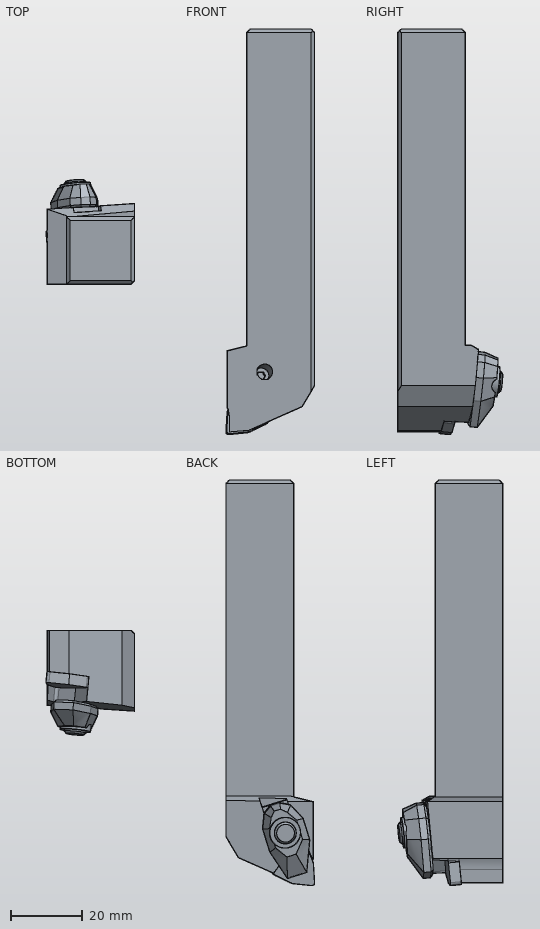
import cadquery as cq
import math

TOP_Z = 113.8
SHANK_LEFT = 5.8
SHANK_RIGHT = 24.9
SHANK_DEPTH = 19.0
EDGE_CHAMFER = 1.0

HEAD_LEFT = 0.3
HEAD_CORNER_Z = 23.5
HEAD_SHOULDER_Z = 24.9
HEAD_TOP_Z = 25.1
RELIEF_LEFT = 1.0
UNDERCUT_TOP_Z = 7.6
UNDERCUT_BOTTOM_Z = 4.5
TOE_LEFT_Z = 0.8
TOE_RIGHT = (6.5, 1.3)
HEEL_LOW = (21.4, 7.9)
HEEL_HIGH_Z = 13.8
HEAD_STOCK_DEPTH = 25.0

REAR_Y = 18.9
REAR_SLOPE_X = 0.065
REAR_SLOPE_Z = 0.092

RAMP_Y = 18.3
RAMP_SLOPE_X = 0.09
RAMP_ANGLE = 30.0

INSERT_CORNERS = 3
INSERT_CIRCLE_R = 4.8
INSERT_NOSE_R = 0.8
INSERT_THICKNESS = 3.1
INSERT_TOP_Y = 14.6
INSERT_SLOPE_X = 0.095
INSERT_SLOPE_Z = 0.1
CORNER_HALF_ANGLE = 40.0
TIP_DIRECTION = 226.0

CLAMP_LEAN = 17.5
CLAMP_TAIL = 7.9
CLAMP_NOSE = 13.1
CLAMP_LEFT = 6.4
CLAMP_RIGHT = 5.3
CLAMP_FOOT_CHAMFER = 0.7
CLAMP_WALL = 2.7
CLAMP_ROOF = 6.6
CLAMP_BOSS_R = 4.3
CLAMP_BOSS_TOP = 7.3
CLAMP_KEY_WIDTH = 7.3
CLAMP_KEY_START = 5.1
CLAMP_KEY_DEPTH = 1.5
KEY_SLOT_LENGTH = 9.1

SCREW_FRONT_X = 10.9
SCREW_FRONT_Z = 17.6
SCREW_R = 2.2
SCREW_HEAD_R = 3.1
SCREW_HEAD_TOP = 8.3
SCREW_HEAD_CHAMFER = 0.6
SCREW_END = 10.2
SOCKET_WIDTH = 2.5
SOCKET_DEPTH = 2.3

CUTTER = 91.0


def polar(centre, distance, angle):
    """Point at a distance and an angle in degrees from a centre."""
    a = math.radians(angle)
    return (centre[0] + distance * math.cos(a), centre[1] + distance * math.sin(a))


def tilted_plane(origin, slope_x, slope_z):
    """Plane with y rising by the slopes; its z axis points toward -Y and its y axis upward."""
    return cq.Plane(origin=origin, xDir=(1, slope_x, 0), normal=(slope_x, -1, slope_z))


seat_plane = tilted_plane((0, INSERT_TOP_Y, 0), INSERT_SLOPE_X, INSERT_SLOPE_Z)

axis_rise = (REAR_Y + REAR_SLOPE_X * SCREW_FRONT_X + REAR_SLOPE_Z * SCREW_FRONT_Z) / (
    1 + REAR_SLOPE_X * INSERT_SLOPE_X + REAR_SLOPE_Z * INSERT_SLOPE_Z
)
axis_point = (
    SCREW_FRONT_X - INSERT_SLOPE_X * axis_rise,
    axis_rise,
    SCREW_FRONT_Z - INSERT_SLOPE_Z * axis_rise,
)
rear_plane = tilted_plane(axis_point, REAR_SLOPE_X, REAR_SLOPE_Z)
clamp_plane = rear_plane.rotated((0, 0, -CLAMP_LEAN))
screw_plane = tilted_plane(axis_point, INSERT_SLOPE_X, INSERT_SLOPE_Z)


def insert_outline():
    """Trigon profile whose cutting tip touches both local axes."""
    nose_distance = (INSERT_CIRCLE_R - INSERT_NOSE_R) / math.sin(math.radians(CORNER_HALF_ANGLE))
    corner_spacing = 360 / INSERT_CORNERS
    tangent_angle = 90 - CORNER_HALF_ANGLE
    flat_corner_offset = corner_spacing / 2
    flat_corner_distance = INSERT_CIRCLE_R / math.cos(math.radians(flat_corner_offset - tangent_angle))
    tip_nose = (INSERT_NOSE_R, INSERT_NOSE_R)
    centre = polar(tip_nose, nose_distance, TIP_DIRECTION - 180)

    outline = cq.Workplane(seat_plane)
    for i in range(INSERT_CORNERS):
        direction = TIP_DIRECTION + corner_spacing * i
        nose = polar(centre, nose_distance, direction)
        arc_start = polar(nose, INSERT_NOSE_R, direction - tangent_angle)
        arc_middle = polar(nose, INSERT_NOSE_R, direction)
        arc_end = polar(nose, INSERT_NOSE_R, direction + tangent_angle)
        outline = outline.moveTo(*arc_start) if i == 0 else outline.lineTo(*arc_start)
        outline = outline.threePointArc(arc_middle, arc_end)
        outline = outline.lineTo(*polar(centre, flat_corner_distance, direction + flat_corner_offset))
    return outline.close()


def make_insert():
    return insert_outline().extrude(INSERT_THICKNESS)


def insert_pocket():
    """Space of the insert and everything behind it."""
    return make_insert().union(insert_outline().extrude(-HEAD_STOCK_DEPTH))


def key_block(length):
    """Block under the clamp's tail, running along the clamp axis."""
    return (
        cq.Workplane(clamp_plane)
        .center(0, CLAMP_KEY_START + length / 2)
        .rect(CLAMP_KEY_WIDTH, length)
        .extrude(CLAMP_KEY_DEPTH)
    )


def screw_rod(length_down):
    """Cylinder on the screw axis from the clamp's boss to a length below the rear face."""
    return (
        cq.Workplane(screw_plane)
        .workplane(offset=-CLAMP_BOSS_TOP)
        .circle(SCREW_R)
        .extrude(CLAMP_BOSS_TOP + length_down)
    )


def make_head():
    rise = UNDERCUT_TOP_Z - UNDERCUT_BOTTOM_Z
    step = RELIEF_LEFT - HEAD_LEFT
    undercut_r = (rise**2 + step**2) / (2 * step)
    half_sweep = math.atan2(step, rise)
    undercut_middle = (
        RELIEF_LEFT - undercut_r * (1 - math.cos(half_sweep)),
        UNDERCUT_BOTTOM_Z + undercut_r * math.sin(half_sweep),
    )
    head = (
        cq.Workplane("XZ")
        .moveTo(HEAD_LEFT, HEAD_CORNER_Z)
        .lineTo(SHANK_LEFT, HEAD_SHOULDER_Z)
        .lineTo(SHANK_LEFT, HEAD_TOP_Z)
        .lineTo(SHANK_RIGHT, HEAD_TOP_Z)
        .lineTo(SHANK_RIGHT, HEEL_HIGH_Z)
        .lineTo(*HEEL_LOW)
        .lineTo(*TOE_RIGHT)
        .lineTo(RELIEF_LEFT, TOE_LEFT_Z)
        .lineTo(RELIEF_LEFT, UNDERCUT_BOTTOM_Z)
        .threePointArc(undercut_middle, (HEAD_LEFT, UNDERCUT_TOP_Z))
        .close()
        .extrude(-HEAD_STOCK_DEPTH)
    )
    behind_rear_face = cq.Workplane(rear_plane).rect(CUTTER, CUTTER).extrude(-CUTTER)
    ramp_slope = math.tan(math.radians(RAMP_ANGLE))
    ramp_plane = cq.Plane(
        origin=(0, RAMP_Y, HEAD_TOP_Z),
        xDir=(1, RAMP_SLOPE_X, 0),
        normal=(-ramp_slope * RAMP_SLOPE_X, ramp_slope, 1),
    )
    above_ramp = cq.Workplane(ramp_plane).rect(CUTTER, CUTTER).extrude(CUTTER)
    return head.cut(behind_rear_face).cut(above_ramp)


def make_holder():
    shank_width = SHANK_RIGHT - SHANK_LEFT
    shank = (
        cq.Workplane("XY", origin=(SHANK_LEFT, 0, HEAD_SHOULDER_Z))
        .box(shank_width, SHANK_DEPTH, TOP_Z - HEAD_SHOULDER_Z, centered=False)
        .faces(">Z")
        .chamfer(EDGE_CHAMFER)
    )
    long_chamfer = (
        cq.Workplane("XY")
        .polyline([(SHANK_RIGHT - EDGE_CHAMFER, 0), (SHANK_RIGHT, 0), (SHANK_RIGHT, EDGE_CHAMFER)])
        .close()
        .extrude(TOP_Z)
    )
    return (
        shank.union(make_head())
        .cut(long_chamfer)
        .cut(insert_pocket())
        .cut(key_block(KEY_SLOT_LENGTH))
        .cut(screw_rod(CUTTER))
    )


def make_clamp():
    wall_outline = [
        (2.8, -CLAMP_NOSE),
        (CLAMP_RIGHT, -4.5),
        (CLAMP_RIGHT, 2.3),
        (3.6, 6.4),
        (1.4, CLAMP_TAIL),
        (-1.4, CLAMP_TAIL),
        (-4.1, 6.4),
        (-CLAMP_LEFT, 1.7),
        (-CLAMP_LEFT, -4.5),
        (-2.8, -CLAMP_NOSE),
    ]
    roof_outline = [
        (1.4, -6.8),
        (3.6, -3.4),
        (3.6, 2.3),
        (2.3, 5.1),
        (0.9, 6.6),
        (-0.9, 6.6),
        (-2.5, 5.1),
        (-4.3, 2.3),
        (-4.3, -3.4),
        (-1.4, -6.8),
    ]
    wall = (
        cq.Workplane(clamp_plane)
        .polyline(wall_outline)
        .close()
        .extrude(-CLAMP_WALL)
        .faces("<Y")
        .chamfer(CLAMP_FOOT_CHAMFER)
    )
    roof = (
        cq.Workplane(clamp_plane)
        .workplane(offset=-CLAMP_WALL)
        .polyline(wall_outline)
        .close()
        .workplane(offset=CLAMP_WALL - CLAMP_ROOF)
        .polyline(roof_outline)
        .close()
        .loft(ruled=True)
    )
    boss = (
        cq.Workplane(screw_plane)
        .workplane(offset=-CLAMP_WALL)
        .circle(CLAMP_BOSS_R)
        .extrude(CLAMP_WALL - CLAMP_BOSS_TOP)
    )
    key = key_block(CLAMP_TAIL - CLAMP_KEY_START)
    return wall.union(roof).union(boss).union(key).cut(screw_rod(CUTTER))


def make_screw():
    head = (
        cq.Workplane(screw_plane)
        .workplane(offset=-CLAMP_BOSS_TOP)
        .circle(SCREW_HEAD_R)
        .extrude(CLAMP_BOSS_TOP - SCREW_HEAD_TOP)
        .faces(">Y")
        .chamfer(SCREW_HEAD_CHAMFER)
    )
    socket = (
        cq.Workplane(screw_plane)
        .workplane(offset=SCREW_END - SOCKET_DEPTH)
        .polygon(6, SOCKET_WIDTH)
        .extrude(SOCKET_DEPTH)
    )
    return screw_rod(SCREW_END).union(head).cut(socket)


holder = make_holder()
insert = make_insert()
clamp = make_clamp()
screw = make_screw()

result = cq.Compound.makeCompound([holder.val(), insert.val(), clamp.val(), screw.val()])